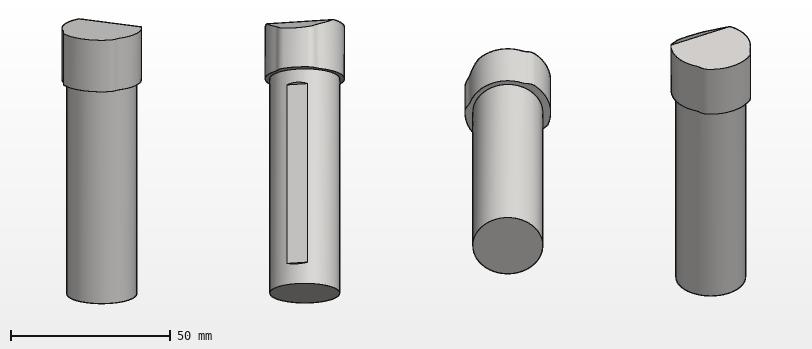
import cadquery as cq
import math

total_length = 87.0
shaft_diameter = 22.0
head_height = 16.9
head_bottom = total_length - head_height

base_radius = 12.485
lobe_radius = 13.5
valley_radius = 8.5 / 2
shoulder_radius = 8.0 / 2
back_blend_angle = 54.6
front_blend_angle = 38.2

slope_start_y = 6.4
slope_angle = 30.0

flat_depth = 0.5
flat_bottom = 7.0
flat_top = head_bottom - 4.8


def polar(radius, angle):
    """Point at a radius and an angle in degrees from +X."""
    return (radius * math.cos(math.radians(angle)), radius * math.sin(math.radians(angle)))


def toward(start, target, distance):
    """Point at a distance from start, in the direction of target."""
    share = distance / math.dist(start, target)
    return tuple(s + share * (t - s) for s, t in zip(start, target))


def blend_points(start_angle):
    """Points of the two tangent arcs from the base circle out to the lobe, in the first quadrant."""
    valley_distance = base_radius + valley_radius
    shoulder_distance = lobe_radius - shoulder_radius
    centre_spacing = valley_radius + shoulder_radius
    cosine = (valley_distance**2 + shoulder_distance**2 - centre_spacing**2) / (
        2 * valley_distance * shoulder_distance
    )
    end_angle = start_angle + math.degrees(math.acos(cosine))

    valley_centre = polar(valley_distance, start_angle)
    shoulder_centre = polar(shoulder_distance, end_angle)
    start = polar(base_radius, start_angle)
    inflection = toward(valley_centre, shoulder_centre, valley_radius)
    end = polar(lobe_radius, end_angle)

    valley_chord_middle = toward(start, inflection, math.dist(start, inflection) / 2)
    shoulder_chord_middle = toward(inflection, end, math.dist(inflection, end) / 2)
    valley_middle = toward(valley_centre, valley_chord_middle, valley_radius)
    shoulder_middle = toward(shoulder_centre, shoulder_chord_middle, shoulder_radius)
    return [start, valley_middle, inflection, shoulder_middle, end]


def mirrored(points, x_sign, y_sign):
    return [(x_sign * x, y_sign * y) for x, y in points]


def make_head():
    back = blend_points(back_blend_angle)
    front = blend_points(front_blend_angle)
    path = back + [(0, lobe_radius)]
    path += mirrored(back, -1, 1)[::-1] + [(-base_radius, 0)]
    path += mirrored(front, -1, -1) + [(0, -lobe_radius)]
    path += mirrored(front, 1, -1)[::-1] + [(base_radius, 0)]
    path.append(path[0])

    outline = cq.Workplane("XY").workplane(offset=head_bottom).moveTo(*path[0])
    for middle, end in zip(path[1::2], path[2::2]):
        outline = outline.threePointArc(middle, end)
    return outline.close().extrude(head_height)


def make_slope_cutter():
    """Wedge above the sloped face, wider than the head."""
    slope_end_y = lobe_radius + 0.9
    slope_drop = (slope_end_y - slope_start_y) * math.tan(math.radians(slope_angle))
    return (
        cq.Workplane("YZ")
        .moveTo(slope_start_y, total_length)
        .lineTo(slope_end_y, total_length)
        .lineTo(slope_end_y, total_length - slope_drop)
        .close()
        .extrude(lobe_radius, both=True)
    )


def make_flat_cutter():
    """Trapezoid that widens outward at 45 degrees from the flat to the shaft surface."""
    shaft_radius = shaft_diameter / 2
    return (
        cq.Workplane("YZ")
        .moveTo(shaft_radius - flat_depth, flat_bottom)
        .lineTo(shaft_radius, flat_bottom - flat_depth)
        .lineTo(shaft_radius, flat_top + flat_depth)
        .lineTo(shaft_radius - flat_depth, flat_top)
        .close()
        .extrude(shaft_radius, both=True)
    )


shaft = cq.Workplane("XY").circle(shaft_diameter / 2).extrude(head_bottom).cut(make_flat_cutter())
head = make_head().cut(make_slope_cutter())
result = shaft.union(head)